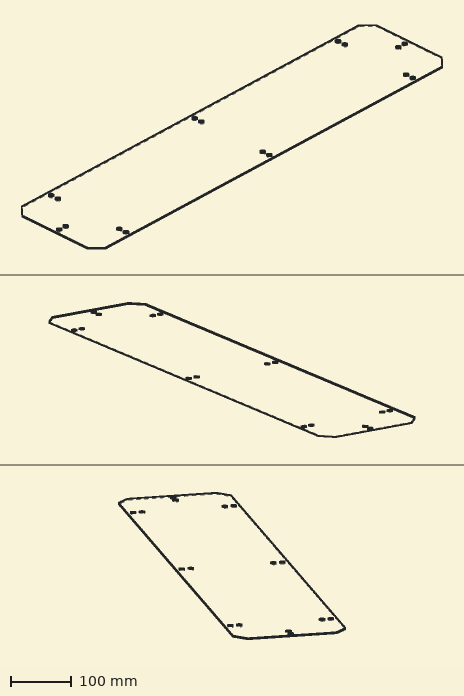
import cadquery as cq

length = 840.0
width = 190.0
thickness = 2.0
corner_cut = 20.0

hole_diameter = 8.0
edge_to_outer_hole = 10.0
pair_pitch = 15.0
end_row_y = 340.0

outer_x = width / 2 - edge_to_outer_hole
inner_x = outer_x - pair_pitch
outer_y = length / 2 - edge_to_outer_hole
inner_y = outer_y - pair_pitch

side_holes = [
    (side * x, y)
    for side in (-1, 1)
    for x in (inner_x, outer_x)
    for y in (-end_row_y, 0, end_row_y)
]
end_holes = [(0, end * y) for end in (-1, 1) for y in (inner_y, outer_y)]

plate = (
    cq.Workplane("XY")
    .box(width, length, thickness)
    .edges("|Z")
    .chamfer(corner_cut)
)

result = (
    plate.faces(">Z")
    .workplane()
    .pushPoints(side_holes + end_holes)
    .hole(hole_diameter)
)